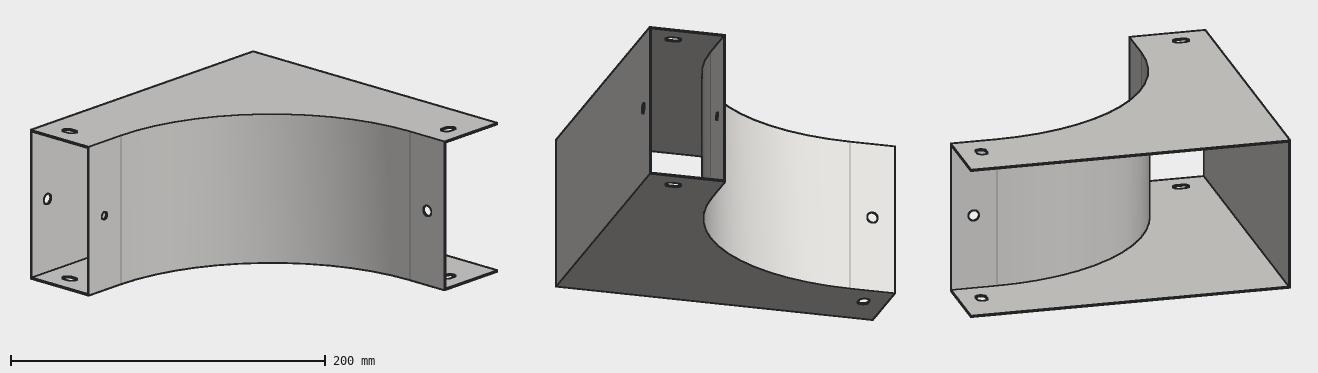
import cadquery as cq

side = 210.0
height = 100.0
leg_width = 50.0
straight_length = 30.0
wall = 1.0

hole_inset = 15.0
large_hole = 7.0
small_hole = 5.0
slot_length = 10.5
slot_width = 7.0
front_leg_slot_x = 20.0
side_leg_slot_from_back = 30.0

bend_radius = side - leg_width - straight_length
hole_position = side - hole_inset
mid_height = height / 2
back_leg_face = side - leg_width


def corner_block(offset, back, bottom, depth):
    """L-shaped block inset by offset, with a concave quarter-round inner side."""
    arc_radius = bend_radius + offset
    inner_x = leg_width - offset
    inner_y = back_leg_face + offset
    arc_center_x = side - straight_length
    arc_center_y = straight_length
    diagonal = arc_radius * 0.5**0.5
    return (
        cq.Workplane("XY", origin=(0, 0, bottom))
        .moveTo(offset, 0)
        .lineTo(inner_x, 0)
        .lineTo(inner_x, straight_length)
        .threePointArc(
            (arc_center_x - diagonal, arc_center_y + diagonal),
            (arc_center_x, inner_y),
        )
        .lineTo(side, inner_y)
        .lineTo(side, back)
        .lineTo(offset, back)
        .close()
        .extrude(depth)
    )


def slot_cutter(x, y, angle):
    """Slot through both the top and bottom plates."""
    return (
        cq.Workplane("XY")
        .center(x, y)
        .slot2D(slot_length, slot_width, angle)
        .extrude(height)
    )


def wall_hole_x(x, diameter):
    """Round hole along X through the wall starting at x."""
    return (
        cq.Workplane("YZ", origin=(x, hole_inset, mid_height))
        .circle(diameter / 2)
        .extrude(wall)
    )


outer_block = corner_block(0, side, 0, height)
cavity = corner_block(wall, side, wall, height - 2 * wall)
result = outer_block.cut(cavity)

result = result.cut(slot_cutter(front_leg_slot_x, hole_inset, 0))
result = result.cut(slot_cutter(hole_position, side - side_leg_slot_from_back, 90))

result = result.cut(wall_hole_x(0, large_hole))
result = result.cut(wall_hole_x(leg_width - wall, small_hole))

side_leg_hole = (
    cq.Workplane("XZ", origin=(hole_position, back_leg_face + wall, mid_height))
    .circle(large_hole / 2)
    .extrude(wall)
)
result = result.cut(side_leg_hole)